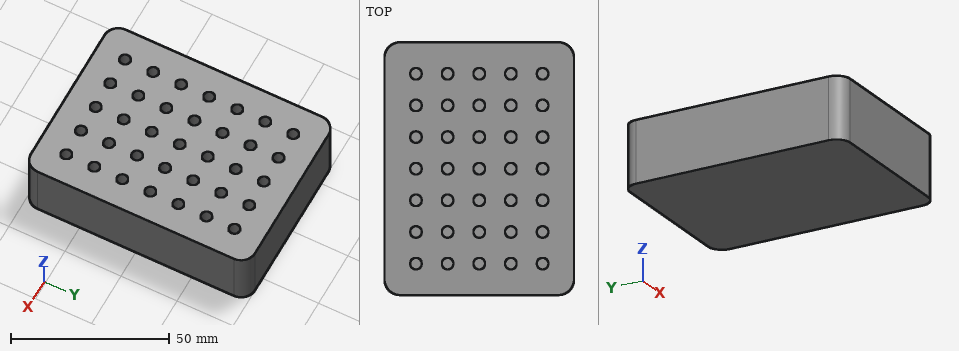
import cadquery as cq

length = 80.0
width = 0.75 * length
height = 22.0

columns = 5
rows = 7
pitch = length / (rows + 1)
hole_diameter = 3.7
floor_thickness = 2.0
hole_depth = height - floor_thickness

corner_radius = pitch / 2


def rounded_block():
    """Block standing on Z = 0 with its four upright edges rounded."""
    block = cq.Workplane("XY").box(width, length, height, centered=(True, True, False))
    return block.edges("|Z").fillet(corner_radius)


def drill_hole_grid(block):
    """Drill the centred grid of flat-bottomed holes into the top face."""
    grid = block.faces(">Z").workplane().rarray(pitch, pitch, columns, rows)
    return grid.hole(hole_diameter, hole_depth)


result = drill_hole_grid(rounded_block())